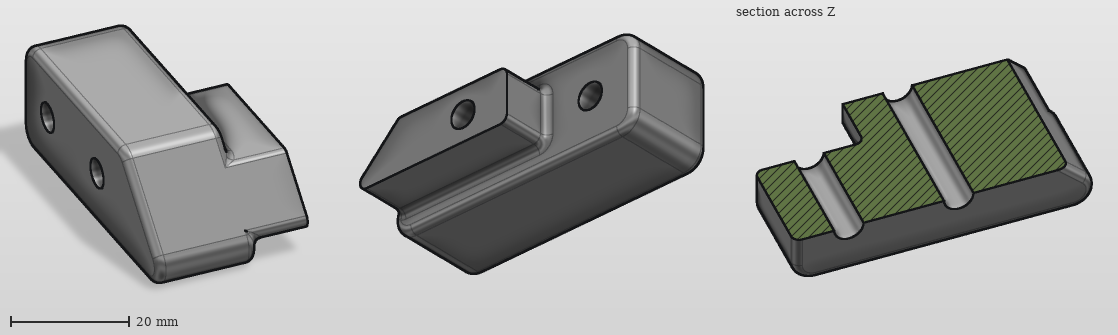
import cadquery as cq

body_height = 20.0
body_depth = 18.5
slope_foot_x = 60.05
corner_radius = 4.0
nose_radius = 3.8
rim_radius = 1.5

boss_left = 20.0
boss_height = 11.0
boss_length = 10.0
boss_corner_radius = 1.5
boss_base_radius = 1.5

hole_diameter = 5.3
first_hole_x = 10.0
hole_spacing = 20.0
hole_count = 2

mid_height = body_height / 2
total_depth = body_depth + boss_length


def sloped_prism(left, height, y_start, y_end, corner, nose):
    """Prism along Y, centred on mid-height, whose right end lies on the 45 degree slope."""
    bottom = mid_height - height / 2
    top = mid_height + height / 2
    outline = [
        (left, bottom),
        (slope_foot_x - bottom, bottom),
        (slope_foot_x - top, top),
        (left, top),
    ]
    prism = (
        cq.Workplane("XZ", origin=(0, y_start, 0))
        .polyline(outline)
        .close()
        .extrude(y_start - y_end)
    )
    prism = prism.edges("|Y and (not >X)").fillet(corner)
    nose_point = (slope_foot_x - bottom, (y_start + y_end) / 2, bottom)
    return prism.edges(cq.NearestToPointSelector(nose_point)).fillet(nose)


def make_body():
    body = sloped_prism(0, body_height, 0, body_depth, corner_radius, nose_radius)
    return body.faces("<Y or >Y").edges().fillet(rim_radius)


def make_boss():
    """Boss starting inside the body, so that it fills the back rim rounding along the slope."""
    return sloped_prism(
        boss_left,
        boss_height,
        body_depth / 2,
        total_depth,
        boss_corner_radius,
        boss_corner_radius,
    )


def blend_boss_base(part):
    """Concave fillet around the boss; it follows the tangent edges from the left one."""
    left_base_edge = cq.NearestToPointSelector((boss_left, body_depth, mid_height))
    return part.edges(left_base_edge).fillet(boss_base_radius)


def make_holes():
    hole_centers = [(first_hole_x + i * hole_spacing, mid_height) for i in range(hole_count)]
    return (
        cq.Workplane("XZ")
        .pushPoints(hole_centers)
        .circle(hole_diameter / 2)
        .extrude(-total_depth)
    )


result = blend_boss_base(make_body().union(make_boss())).cut(make_holes())